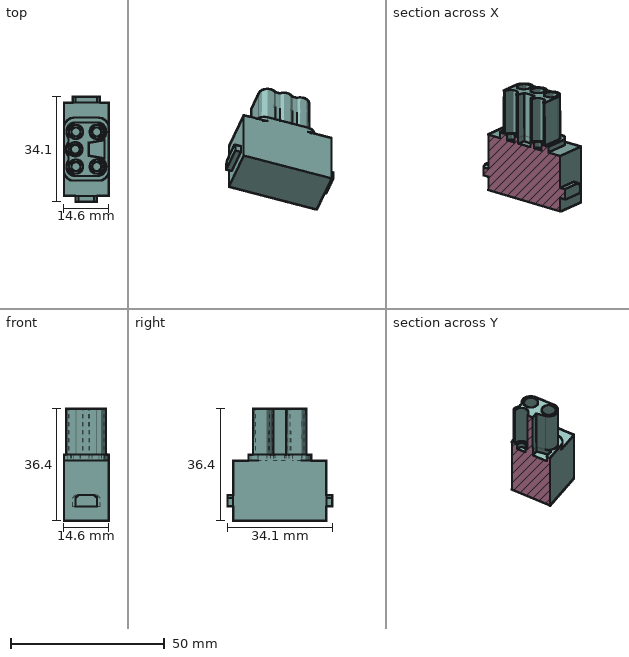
import cadquery as cq
import math

body_width = 14.6
overall_length = 34.1
overall_height = 36.4
body_length = 30.3
body_height = 19.5
plinth_height = 1.95
plinth_top = body_height + plinth_height
tower_height = overall_height - plinth_top

plinth_half_length = 10.23
plinth_end_half_straight = 4.2
plinth_side_half_straight = 7.03
plinth_corner_x = 6.08
plinth_corner_y = 9.43

corner_x = 3.4
corner_y = 5.65
middle_x = -3.55
bore_radius = 2.3
bore_depth = tower_height
inner_bore_radius = 1.5
inner_bore_depth = plinth_height

lobe_radius = 3.1
tower_draft = 0.3
side_flat_x = -5.8

notch_floor_x = 0.85
notch_angle = math.radians(10)
recess_end_x = 5.97
recess_depth = plinth_height

tab_bottom = 4.65
tab_height = 3.7
front_tab_width = 7.05
back_tab_width = 8.9
tab_chamfer_height = 0.9
front_tab_chamfer_width = 1.02
back_tab_chamfer_width = 0.9
tab_projection = (overall_length - body_length) / 2


notch_tangent_x = corner_x + lobe_radius * math.sin(notch_angle)
notch_tangent_y = corner_y - lobe_radius * math.cos(notch_angle)


def notch_half_width(x):
    return notch_tangent_y + (x - notch_tangent_x) * math.tan(notch_angle)


def tangent_arc_radius(along, across):
    """Radius of an arc leaving a line tangentially, given its end along and across that line."""
    return (along**2 + across**2) / (2 * across)


def make_plinth():
    half_width = body_width / 2
    end_radius = tangent_arc_radius(
        plinth_corner_x - plinth_end_half_straight, plinth_half_length - plinth_corner_y
    )
    side_radius = tangent_arc_radius(
        plinth_corner_y - plinth_side_half_straight, half_width - plinth_corner_x
    )
    quarter = (
        cq.Workplane("XY").workplane(offset=body_height)
        .lineTo(0, plinth_half_length)
        .lineTo(plinth_end_half_straight, plinth_half_length)
        .radiusArc((plinth_corner_x, plinth_corner_y), end_radius)
        .radiusArc((half_width, plinth_side_half_straight), side_radius)
        .lineTo(half_width, 0)
        .close()
        .extrude(plinth_height)
    )
    return quarter.mirror("YZ", union=True).mirror("XZ", union=True)


def make_tower():
    end_y = corner_y + lobe_radius
    corner_flat_y = corner_y - math.sqrt(lobe_radius**2 - (side_flat_x + corner_x) ** 2)
    middle_flat_y = math.sqrt(lobe_radius**2 - (side_flat_x - middle_x) ** 2)
    floor_half_width = notch_half_width(notch_floor_x)
    right_x = corner_x + lobe_radius
    left_x = -right_x
    return (
        cq.Workplane("XY").workplane(offset=plinth_top)
        .moveTo(-corner_x, -end_y)
        .lineTo(corner_x, -end_y)
        .threePointArc((right_x, -corner_y), (notch_tangent_x, -notch_tangent_y))
        .lineTo(notch_floor_x, -floor_half_width)
        .lineTo(notch_floor_x, floor_half_width)
        .lineTo(notch_tangent_x, notch_tangent_y)
        .threePointArc((right_x, corner_y), (corner_x, end_y))
        .lineTo(-corner_x, end_y)
        .threePointArc((left_x, corner_y), (side_flat_x, corner_flat_y))
        .lineTo(side_flat_x, middle_flat_y)
        .threePointArc((middle_x - lobe_radius, 0), (side_flat_x, -middle_flat_y))
        .lineTo(side_flat_x, -corner_flat_y)
        .threePointArc((left_x, -corner_y), (-corner_x, -end_y))
        .close()
        .extrude(tower_height, taper=tower_draft)
    )


def make_recess():
    inner = notch_half_width(notch_floor_x)
    outer = notch_half_width(recess_end_x)
    return (
        cq.Workplane("XY").workplane(offset=plinth_top)
        .polyline([
            (notch_floor_x, -inner),
            (recess_end_x, -outer),
            (recess_end_x, outer),
            (notch_floor_x, inner),
        ])
        .close()
        .extrude(-recess_depth)
    )


def make_contact_bores():
    positions = [(x, y) for x in (-corner_x, corner_x) for y in (-corner_y, corner_y)]
    positions.append((middle_x, 0))
    top = cq.Workplane("XY").workplane(offset=overall_height).pushPoints(positions)
    bores = top.circle(bore_radius).extrude(-bore_depth)
    inner_bores = top.circle(inner_bore_radius).extrude(-(bore_depth + inner_bore_depth))
    return bores.union(inner_bores)


def make_tab(width, chamfer_width, side):
    """Latch tab with chamfered upper corners; side is -1 for the -Y end, +1 for the +Y end."""
    half = width / 2
    tab_top = tab_bottom + tab_height
    shoulder = tab_top - tab_chamfer_height
    return (
        cq.Workplane("XZ", origin=(0, side * body_length / 2, 0))
        .polyline([
            (-half, tab_bottom),
            (half, tab_bottom),
            (half, shoulder),
            (half - chamfer_width, tab_top),
            (-half + chamfer_width, tab_top),
            (-half, shoulder),
        ])
        .close()
        .extrude(-side * tab_projection)
    )


body = cq.Workplane("XY").box(body_width, body_length, body_height, centered=(True, True, False))
result = (
    body
    .union(make_plinth())
    .union(make_tower())
    .union(make_tab(front_tab_width, front_tab_chamfer_width, -1))
    .union(make_tab(back_tab_width, back_tab_chamfer_width, 1))
    .cut(make_recess())
    .cut(make_contact_bores())
)